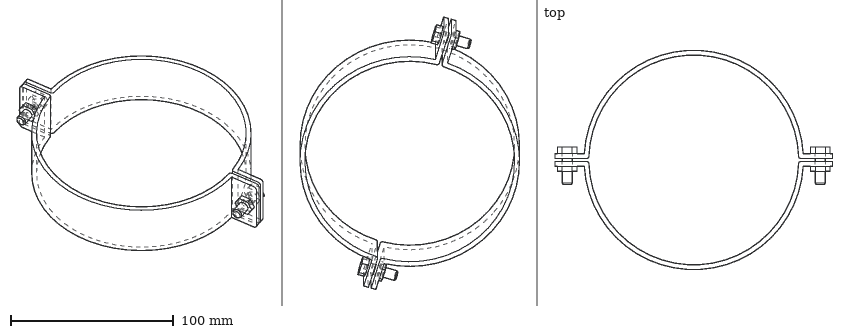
import cadquery as cq
import math

overall_length = 170.8
band_diameter = 135.0
band_width = 35.0
thickness = 3.0
gap = 1.7
bend_radius = 1.5
corner_radius = 2.0

bolt_edge_distance = 7.5
shank_diameter = 6.3
hex_across_flats = 10.6
head_height = 4.1
nut_height = 3.0
thread_projection = 8.2
tip_chamfer_length = 1.0
tip_chamfer_depth = 0.5

outer_radius = band_diameter / 2
inner_radius = outer_radius - thickness
flange_inner = gap / 2
flange_outer = flange_inner + thickness
bolt_x = overall_length / 2 - bolt_edge_distance
bolt_sides = (-1, 1)


def make_half_profile():
    """Half ring with a flat flange at each end, lying on the +Y side."""
    end_x = overall_length / 2
    outer_x = math.sqrt(outer_radius**2 - flange_outer**2)
    inner_x = math.sqrt(inner_radius**2 - flange_inner**2)
    return (
        cq.Workplane("XY", origin=(0, 0, -band_width / 2))
        .moveTo(-end_x, flange_inner)
        .lineTo(-end_x, flange_outer)
        .lineTo(-outer_x, flange_outer)
        .threePointArc((0, outer_radius), (outer_x, flange_outer))
        .lineTo(end_x, flange_outer)
        .lineTo(end_x, flange_inner)
        .lineTo(inner_x, flange_inner)
        .threePointArc((0, inner_radius), (-inner_x, flange_inner))
        .close()
    )


def make_clamp_half():
    """Bent clamp half on the +Y side, with rounded edges and bolt holes."""
    half = make_half_profile().extrude(band_width)

    for side in bolt_sides:
        bend_edge = cq.selectors.NearestToPointSelector((side * inner_radius, flange_inner, 0))
        half = half.edges(bend_edge).fillet(bend_radius)

    half = half.faces("<X or >X").edges("|Y").fillet(corner_radius)

    holes = (
        cq.Workplane("XZ", origin=(0, flange_outer, 0))
        .pushPoints([(side * bolt_x, 0) for side in bolt_sides])
        .circle(shank_diameter / 2)
        .extrude(flange_outer)
    )
    return half.cut(holes)


def make_hexagon(start_y, height):
    """Hexagonal prism on the bolt axis, running from start_y toward -Y."""
    across_corners = hex_across_flats / math.cos(math.pi / 6)
    return cq.Workplane("XZ", origin=(0, start_y, 0)).polygon(6, across_corners).extrude(height)


def make_bolt(x):
    """Bolt with its head on the +Y flange and its nut on the -Y flange."""
    shank_length = 2 * flange_outer + nut_height + thread_projection
    shank = (
        cq.Workplane("XZ", origin=(0, flange_outer, 0))
        .circle(shank_diameter / 2)
        .extrude(shank_length)
        .faces("<Y")
        .chamfer(tip_chamfer_length, tip_chamfer_depth)
    )
    head = make_hexagon(flange_outer + head_height, head_height)
    nut = make_hexagon(-flange_outer, nut_height)
    return shank.union(head).union(nut).translate((x, 0, 0))


back_half = make_clamp_half()
front_half = back_half.mirror("XZ")
bolts = [make_bolt(side * bolt_x) for side in bolt_sides]

result = cq.Compound.makeCompound(
    [back_half.val(), front_half.val(), *[bolt.val() for bolt in bolts]]
)